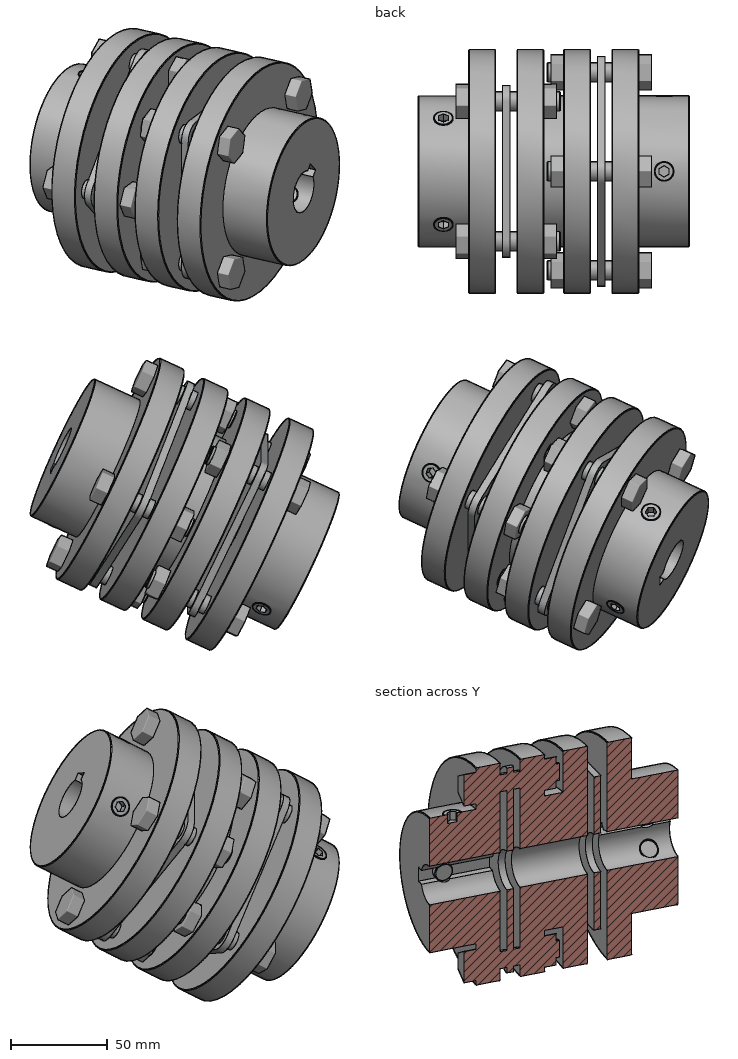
import cadquery as cq
import math


total_length = 140.0
flange_thickness = 14.0
flange_gap = 10.9
spacer_length = 10.1

flange_radius = 63.0
hub_radius = 39.0
bore_radius = 11.0
edge_chamfer = 0.4

key_width = 8.0
key_top = 14.3

bolt_count = 4
hex_sides = 6
bolt_circle_radius = 51.1
bolt_radius = 5.0
bolt_end_chamfer = 0.4
bolt_overhang = 8.4
hex_across_flats = 16.0
hex_height = 6.6
hex_edge_radius = 0.3

disc_thickness = 3.9
disc_corner_radius = 8.3

screw_radius = 5.0
screw_chamfer = 0.4
socket_across_flats = 5.0
socket_depth = 5.0

half_length = total_length / 2
inner_flange_end = -spacer_length / 2
inner_flange_start = inner_flange_end - flange_thickness
outer_flange_end = inner_flange_start - flange_gap
outer_flange_start = outer_flange_end - flange_thickness
hub_length = outer_flange_start + half_length
disc_start = outer_flange_end + (flange_gap - disc_thickness) / 2

hex_across_corners = hex_across_flats / math.cos(math.pi / hex_sides)
socket_across_corners = socket_across_flats / math.cos(math.pi / hex_sides)
bolt_angles = [i * 360 / bolt_count for i in range(bolt_count)]


def section(x):
    """Workplane across the shaft at x; its local axes are Y and Z."""
    return cq.Workplane("YZ", origin=(x, 0, 0))


def turn(body, angle):
    """Turn a body about the shaft axis."""
    return body.rotate((0, 0, 0), (1, 0, 0), angle)


def flange(x):
    """Flange starting at x, chamfered on both rims."""
    disc = section(x).circle(flange_radius).extrude(flange_thickness)
    return disc.faces("<X or >X").edges().chamfer(edge_chamfer)


def disc_pack():
    """Square plate with a round corner about each of the four bolts."""
    half_side = bolt_circle_radius * math.cos(math.pi / bolt_count) + disc_corner_radius
    plate = (
        section(disc_start)
        .transformed(rotate=(0, 0, 180 / bolt_count))
        .rect(2 * half_side, 2 * half_side)
        .extrude(disc_thickness)
    )
    return plate.edges("|X").fillet(disc_corner_radius)


def bolt():
    """Bolt on +Y through both flanges, with a hex head outside and a nut inside."""
    centre = (bolt_circle_radius, 0)
    head_start = outer_flange_start - hex_height
    shank_end = inner_flange_end + bolt_overhang
    shank = section(head_start).center(*centre).circle(bolt_radius).extrude(shank_end - head_start)
    shank = shank.faces(">X").edges().chamfer(bolt_end_chamfer)
    for x, outer_face in ((head_start, "<X"), (inner_flange_end, ">X")):
        hexagon = section(x).center(*centre).polygon(hex_sides, hex_across_corners).extrude(hex_height)
        hexagon = hexagon.edges(f"|X or {outer_face}").fillet(hex_edge_radius)
        shank = shank.union(hexagon)
    return shank


def radial_plane(radius):
    """Workplane facing +Y at the given radius, at the middle of the hub length."""
    hub_middle = -half_length + hub_length / 2
    plane = cq.Plane(origin=(hub_middle, radius, 0), xDir=(0, 0, 1), normal=(0, 1, 0))
    return cq.Workplane(plane)


def set_screw():
    """Set screw on +Y, from the hub surface down to the bore, with a hex socket."""
    screw = radial_plane(bore_radius).circle(screw_radius).extrude(hub_radius - bore_radius)
    screw = screw.faces("<Y or >Y").edges().chamfer(screw_chamfer)
    socket = radial_plane(hub_radius).polygon(hex_sides, socket_across_corners).extrude(-socket_depth)
    return screw.cut(socket)


def hub():
    """Hub and outer flange, with a keyway on +Y and set screws on +Y and +Z."""
    body = section(-half_length).circle(hub_radius).extrude(hub_length)
    body = body.faces("<X").edges().chamfer(edge_chamfer)
    body = body.union(flange(outer_flange_start))
    keyway = (
        section(-half_length)
        .center(key_top / 2, 0)
        .rect(key_top, key_width)
        .extrude(hub_length + flange_thickness)
    )
    body = body.cut(keyway)
    screw = set_screw()
    screw_hole = radial_plane(0).circle(screw_radius).extrude(flange_radius)
    for angle in (0, 90):
        body = body.cut(turn(screw_hole, angle)).union(turn(screw, angle))
    return body


def half_coupling():
    """Hub, disc pack, inner flange and half of the spacer, bored through and bolted together."""
    body = hub().union(disc_pack()).union(flange(inner_flange_start))
    spacer = section(inner_flange_end).circle(hub_radius).extrude(spacer_length / 2)
    body = body.union(spacer)
    bore = section(-half_length).circle(bore_radius).extrude(half_length)
    body = body.cut(bore)
    for angle in bolt_angles:
        body = body.union(turn(bolt(), angle))
    return body


near_half = half_coupling()
far_half = turn(near_half.rotate((0, 0, 0), (0, 1, 0), 180), 180 / bolt_count)
result = near_half.union(far_half)